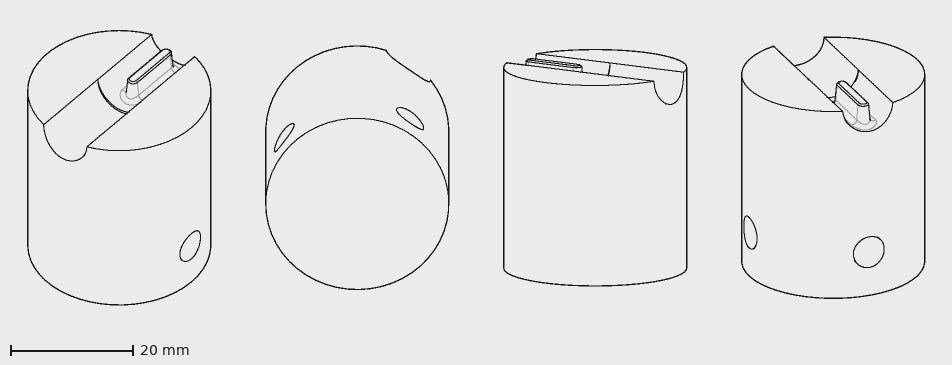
import cadquery as cq

body_diameter = 30.0
body_height = 33.5

groove_radius = 4.5
rear_groove_rise = 0.4

key_center_y = 8.05
key_rim_width = 1.8
key_rim_length = 10.52
key_taper = 5.0
key_chamfer = 0.27
key_chamfer_angle = 45.0
key_fillet = 0.75
key_root_depth = 5.35

port_diameter = 5.5
port_height = 7.77

body_radius = body_diameter / 2


def groove_half(axis_height, start_y):
    """Cylinder along +Y that cuts half the length of the groove."""
    axis_start = cq.Vector(0, start_y, axis_height)
    cutter = cq.Solid.makeCylinder(groove_radius, body_radius, axis_start, cq.Vector(0, 1, 0))
    return cq.Workplane(cutter)


def key():
    """Round-ended key that widens downward and has a chamfered crown."""
    rim = cq.Workplane(origin=(0, key_center_y, body_height - key_chamfer))
    stem = rim.slot2D(key_rim_length, key_rim_width, 90).extrude(-key_root_depth, taper=-key_taper)
    crown = rim.slot2D(key_rim_length, key_rim_width, 90).extrude(key_chamfer, taper=key_chamfer_angle)
    return stem.union(crown)


def port(direction):
    """Radial hole from the body axis out through the wall."""
    axis_start = cq.Vector(0, 0, port_height)
    return cq.Workplane(cq.Solid.makeCylinder(port_diameter / 2, body_radius, axis_start, direction))


body = cq.Workplane().circle(body_radius).extrude(body_height)
body = body.cut(groove_half(body_height, -body_radius))
body = body.cut(groove_half(body_height + rear_groove_rise, 0))

body = body.union(key())

root_box = cq.selectors.BoxSelector(
    (-groove_radius / 2, key_center_y - key_rim_length, body_height - groove_radius),
    (groove_radius / 2, key_center_y + key_rim_length, body_height - groove_radius / 2),
    boundingbox=True,
)
body = body.edges(root_box).fillet(key_fillet)

for direction in (cq.Vector(1, 0, 0), cq.Vector(0, 1, 0)):
    body = body.cut(port(direction))

result = body